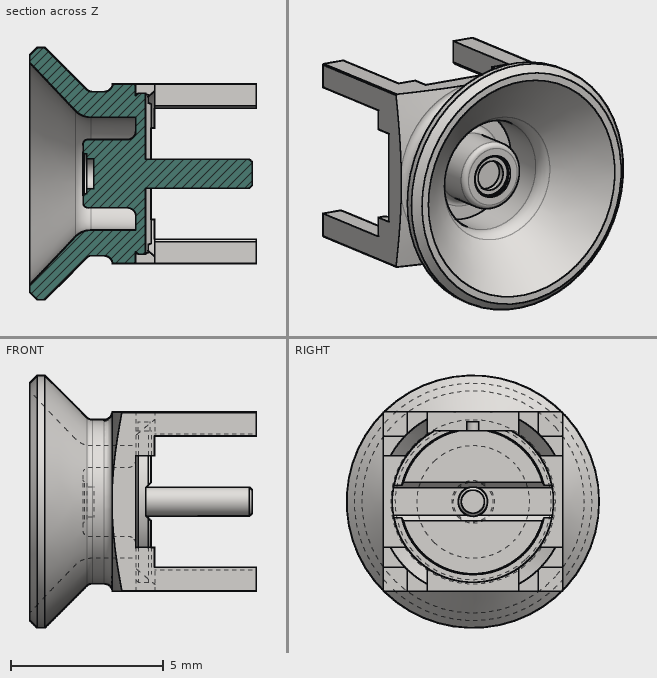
import cadquery as cq
import math

rim_radius = 4.15
rim_chamfer = 0.25
rim_end_x = 0.5
outer_cone_angle = 45
mouth_radius = 3.65
neck_radius = 2.7
neck_outer_round = 0.25
bore_radius = 1.85
bore_round = 0.705
mouth_angle = 46.5

body_half = 2.95
neck_end_x = 2.44
shoulder_radius = 3.0
shoulder_x = 2.72
shoulder_angle = 15
seat_x = 3.48
notch_x = 4.11
leg_end_x = 7.45
leg_inner = 2.15
window_half = 1.5
seat_bore_radius = 3.1

hub_base_radius = 1.39
hub_radius = 1.13
hub_face_radius = 0.955
hub_face_x = 1.75
socket_radius = 0.655
socket_chamfer = 0.045
socket_floor_x = 1.87
inner_socket_radius = 0.49
inner_socket_floor_x = 2.1

disc_radius = 2.65
disc_chamfer = 0.09
disc_step_x = 3.895
disc_end_x = 3.99
disc_step_radius = 2.4
disc_end_radius = 2.37
disc_flat_z = 2.32
peg_radius = 0.2
peg_x = 3.75
peg_top_z = 2.62
groove_half_top = 0.63
groove_floor_x = 3.81

pin_radius = 0.48
pin_end_x = 7.32
pin_chamfer = 0.1


def revolve_about_x(profile):
    """Revolve an XY profile (x along the axis, y as radius) a full turn about X."""
    return profile.close().revolve(360, (0, 0, 0), (1, 0, 0))


def box_along_x(x_start, x_end, width_y, width_z):
    """Box centred on the X axis between two X stations."""
    block = cq.Workplane("YZ").workplane(offset=x_start)
    return block.rect(width_y, width_z).extrude(x_end - x_start)


def arc_point(center_x, center_r, radius, angle_degrees):
    """Point on a circle in the profile plane."""
    angle = math.radians(angle_degrees)
    return (center_x + radius * math.cos(angle), center_r + radius * math.sin(angle))


def cone_round(cone_x, cone_r, cone_angle, end_radius, round_radius):
    """Start, middle and end of the round that joins a narrowing cone to a cylinder.

    The cone passes through (cone_x, cone_r) at cone_angle degrees to the axis.
    The round bulges towards the axis and is tangent to both.
    """
    angle = math.radians(cone_angle)
    start_r = end_radius + round_radius * (1 - math.cos(angle))
    start_x = cone_x + (cone_r - start_r) / math.tan(angle)
    center_x = start_x + round_radius * math.sin(angle)
    center_r = end_radius + round_radius
    middle = arc_point(center_x, center_r, round_radius, 270 - cone_angle / 2)
    return (start_x, start_r), middle, (center_x, end_radius)


def make_outside():
    """Cup outside and round body blank, ending at the tips of the legs."""
    cone_end, round_middle, neck_start = cone_round(
        rim_end_x, rim_radius, outer_cone_angle, neck_radius, neck_outer_round
    )
    shoulder_round = shoulder_radius - neck_radius
    shoulder_middle = arc_point(neck_end_x, shoulder_radius, shoulder_round, 315)
    blank_x = shoulder_x + (rim_radius - shoulder_radius) * math.tan(math.radians(shoulder_angle))
    profile = (
        cq.Workplane("XY")
        .moveTo(0, 0)
        .lineTo(0, rim_radius - rim_chamfer)
        .lineTo(rim_chamfer, rim_radius)
        .lineTo(rim_end_x, rim_radius)
        .lineTo(*cone_end)
        .threePointArc(round_middle, neck_start)
        .lineTo(neck_end_x, neck_radius)
        .threePointArc(shoulder_middle, (shoulder_x, shoulder_radius))
        .lineTo(blank_x, rim_radius)
        .lineTo(leg_end_x, rim_radius)
        .lineTo(leg_end_x, 0)
    )
    return revolve_about_x(profile)


def square_off(blank):
    """Trim the round blank behind the neck to a square with slightly rounded corners."""
    cup = blank.intersect(box_along_x(0, neck_end_x, 2 * rim_radius, 2 * rim_radius))
    body = blank.intersect(box_along_x(neck_end_x, leg_end_x, 2 * body_half, 2 * body_half))
    return cup.union(body)


def cut_cup_bore(part):
    """Conical mouth rounding into a cylindrical bore that runs back to the seat of the disc."""
    cone_end, round_middle, bore_start = cone_round(
        0, mouth_radius, mouth_angle, bore_radius, bore_round
    )
    profile = (
        cq.Workplane("XY")
        .moveTo(0, 0)
        .lineTo(0, mouth_radius)
        .lineTo(*cone_end)
        .threePointArc(round_middle, bore_start)
        .lineTo(seat_x, bore_radius)
        .lineTo(seat_x, 0)
    )
    return part.cut(revolve_about_x(profile))


def make_hub():
    """Hub with a filleted foot, a rounded face edge and a stepped socket."""
    foot = hub_base_radius - hub_radius
    foot_middle = arc_point(seat_x - foot, hub_base_radius, foot, 315)
    edge = hub_radius - hub_face_radius
    edge_middle = arc_point(hub_face_x + edge, hub_face_radius, edge, 135)
    profile = (
        cq.Workplane("XY")
        .moveTo(seat_x, 0)
        .lineTo(seat_x, hub_base_radius)
        .threePointArc(foot_middle, (seat_x - foot, hub_radius))
        .lineTo(hub_face_x + edge, hub_radius)
        .threePointArc(edge_middle, (hub_face_x, hub_face_radius))
        .lineTo(hub_face_x, socket_radius + socket_chamfer)
        .lineTo(hub_face_x + socket_chamfer, socket_radius)
        .lineTo(socket_floor_x, socket_radius)
        .lineTo(socket_floor_x, inner_socket_radius)
        .lineTo(inner_socket_floor_x, inner_socket_radius)
        .lineTo(inner_socket_floor_x, 0)
    )
    return revolve_about_x(profile)


def cut_legs(part):
    """Open the space between the legs, the side windows and the flared seat for the disc.

    The bore of the seat runs on to the leg tips and rounds off their inner corners.
    """
    full = 2 * body_half
    for width_y, width_z in ((full, 2 * leg_inner), (2 * leg_inner, full)):
        part = part.cut(box_along_x(notch_x, leg_end_x, width_y, width_z))
    for width_y, width_z in ((full, 2 * window_half), (2 * window_half, full)):
        part = part.cut(box_along_x(seat_x, notch_x, width_y, width_z))
    seat = (
        cq.Workplane("XY")
        .moveTo(seat_x, 0)
        .lineTo(seat_x, disc_radius)
        .lineTo(notch_x, seat_bore_radius)
        .lineTo(leg_end_x, seat_bore_radius)
        .lineTo(leg_end_x, 0)
    )
    return part.cut(revolve_about_x(seat))


def make_disc():
    """Stepped disc with a flat and a peg on top and a trapezoidal groove across its back."""
    profile = (
        cq.Workplane("XY")
        .moveTo(seat_x, 0)
        .lineTo(seat_x, disc_radius - disc_chamfer)
        .lineTo(seat_x + disc_chamfer, disc_radius)
        .lineTo(disc_step_x, disc_radius)
        .lineTo(disc_step_x, disc_step_radius)
        .lineTo(disc_end_x, disc_end_radius)
        .lineTo(disc_end_x, 0)
    )
    disc = revolve_about_x(profile)
    above_flat = box_along_x(seat_x, disc_end_x, 2 * disc_radius, 2 * disc_radius)
    disc = disc.cut(above_flat.translate((0, 0, disc_flat_z + disc_radius)))

    groove_half_floor = groove_half_top - (disc_end_x - groove_floor_x)
    groove = (
        cq.Workplane("XZ")
        .moveTo(disc_end_x, groove_half_top)
        .lineTo(groove_floor_x, groove_half_floor)
        .lineTo(groove_floor_x, -groove_half_floor)
        .lineTo(disc_end_x, -groove_half_top)
        .close()
        .extrude(disc_radius, both=True)
    )
    flat = cq.Workplane("XY").workplane(offset=disc_flat_z)
    peg = flat.center(peg_x, 0).circle(peg_radius).extrude(peg_top_z - disc_flat_z)
    return disc.cut(groove).union(peg)


def make_pin():
    """Centre pin rising from the groove floor, chamfered at its tip."""
    pin = cq.Workplane("YZ").workplane(offset=groove_floor_x).circle(pin_radius)
    return pin.extrude(pin_end_x - groove_floor_x).faces(">X").chamfer(pin_chamfer)


shell = cut_legs(cut_cup_bore(square_off(make_outside())))
result = shell.union(make_hub()).union(make_disc()).union(make_pin())